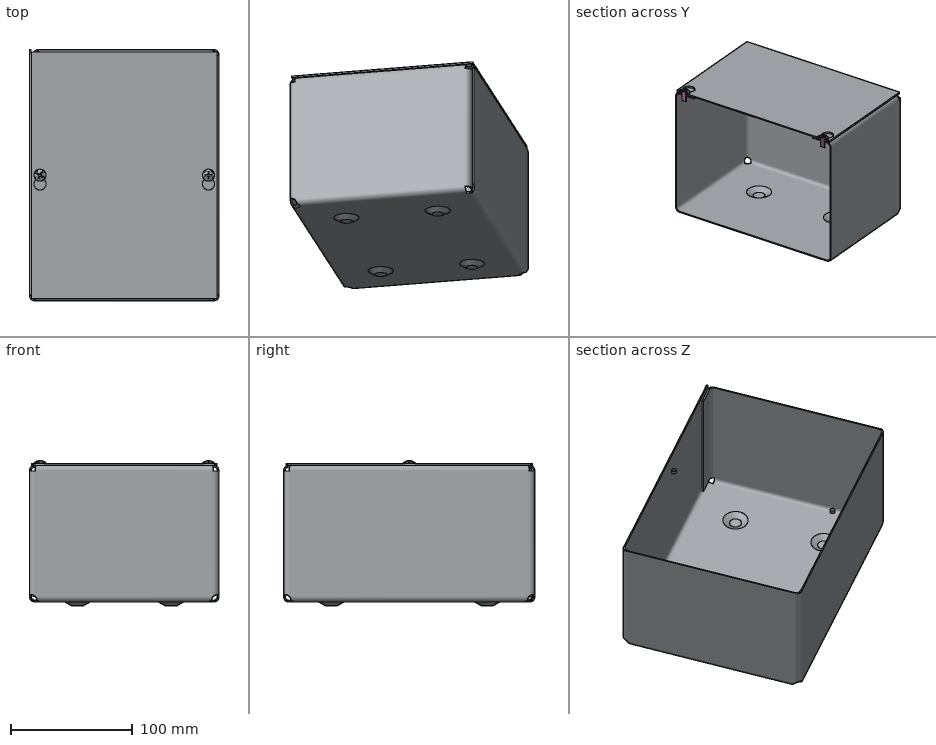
import cadquery as cq
import math

LENGTH_X = 155.6
LENGTH_Y = 206.4
BOX_HEIGHT = 112.3
SHEET = 1.5
BEND_RADIUS = 4.5
FLANGE_WIDTH = 18.5
NOTCH_MOUTH = 4.5
NOTCH_BOTTOM = 6.0
RELIEF_RADIUS = 6.6
RELIEF_MOUTH_RADIUS = 9.3

SEAM_OFFSET = 2 * SHEET
TAB_LENGTH = 14.5

DIMPLE_X = 38.4
DIMPLE_Y = 64.0
DIMPLE_HEIGHT = 3.0
DIMPLE_BASE_DIAMETER = 20.6
DIMPLE_END_DIAMETER = 9.7

LID_MARGIN_X = 1.7
LID_MARGIN_Y = 1.9
KEYHOLE_SHIFT = 7.2
KEYHOLE_DIAMETER = 10.0
SLOT_WIDTH = 7.6

SCREW_X = 69.1
HEAD_DIAMETER = 10.0
HEAD_HEIGHT = 2.5
HEAD_RIM = 0.5
SHANK_DIAMETER = 4.1
SHANK_LENGTH = 8.3
CROSS_LENGTH = 5.8
CROSS_WIDTH = 1.0
CROSS_DEPTH = 1.5
CROSS_ANGLES = {-1: 60.0, 1: 0.0}

HALF_X = LENGTH_X / 2
HALF_Y = LENGTH_Y / 2
BEND_TOP = BOX_HEIGHT - BEND_RADIUS
LID_TOP = BOX_HEIGHT + SHEET
SIDES = (-1, 1)


def block(x_range, y_range, z_range):
    """Box between a low and a high limit on each axis."""
    sizes = [high - low for low, high in (x_range, y_range, z_range)]
    corner = (x_range[0], y_range[0], z_range[0])
    return cq.Workplane("XY").box(*sizes, centered=False).translate(corner)


def rounded_block(inset):
    """Box outline moved inward by `inset`; every edge is rounded but the upright one at -X, +Y."""
    x = HALF_X - inset
    y = HALF_Y - inset
    body = block((-x, x), (-y, y), (inset, BOX_HEIGHT - inset))
    open_corner = cq.selectors.BoxSelector((-x - SHEET, y - SHEET, 0), (-x + SHEET, y + SHEET, BOX_HEIGHT))
    box_edges = cq.selectors.StringSyntaxSelector("|X or |Y or |Z")
    return body.edges(box_edges - open_corner).fillet(BEND_RADIUS - inset)


def corner_notch(side_x, side_y):
    """Gap between the two flange bends that meet at a corner; it widens inward."""
    outline = [(0, 0), (NOTCH_MOUTH, 0), (NOTCH_BOTTOM, NOTCH_BOTTOM), (0, NOTCH_MOUTH)]
    points = [(side_x * (HALF_X - x), side_y * (HALF_Y - y)) for x, y in outline]
    return cq.Workplane("XY", origin=(0, 0, BEND_TOP)).polyline(points).close().extrude(BEND_RADIUS)


def corner_relief(x, y):
    """Ball around a corner of the base, with a mouth that flares out through the base sheet."""
    throat_radius = math.sqrt(RELIEF_RADIUS**2 - SHEET**2)
    mouth = cq.Solid.makeCone(RELIEF_MOUTH_RADIUS, throat_radius, SHEET, pnt=cq.Vector(x, y, 0))
    return cq.Workplane("XY", origin=(x, y, 0)).sphere(RELIEF_RADIUS).union(cq.Workplane(mouth))


def open_seam(box):
    """Free the +Y wall from the -X wall, which runs straight on to the +Y face."""
    wall_x = -HALF_X
    tab_x = wall_x + SEAM_OFFSET
    bend_end_x = tab_x + BEND_RADIUS
    seam_y = HALF_Y - SEAM_OFFSET
    full_height = (0, BOX_HEIGHT)
    box = box.cut(block((wall_x + SHEET, bend_end_x), (seam_y, HALF_Y), full_height))
    box = box.cut(block((tab_x, bend_end_x), (HALF_Y - BEND_RADIUS, HALF_Y), full_height))
    box = box.cut(block((wall_x, tab_x), (seam_y, HALF_Y), (BEND_TOP, BOX_HEIGHT)))
    box = box.cut(corner_relief(wall_x, HALF_Y + SEAM_OFFSET))
    return box.union(seam_tab(bend_end_x, HALF_Y - BEND_RADIUS))


def seam_tab(bend_x, bend_y):
    """Tab bent from the +Y wall about (bend_x, bend_y), standing just inside the -X wall."""
    outer = BEND_RADIUS
    inner = BEND_RADIUS - SHEET
    diagonal = math.sqrt(0.5)
    return (
        cq.Workplane("XY", origin=(bend_x, bend_y, BEND_RADIUS))
        .moveTo(0, outer)
        .threePointArc((-outer * diagonal, outer * diagonal), (-outer, 0))
        .lineTo(-outer, -TAB_LENGTH)
        .lineTo(-inner, -TAB_LENGTH)
        .lineTo(-inner, 0)
        .threePointArc((-inner * diagonal, inner * diagonal), (0, inner))
        .close()
        .extrude(BEND_TOP - BEND_RADIUS)
    )


def dimple(x, y, base_z):
    """Blunt cone hanging from `base_z`."""
    return (
        cq.Workplane("XY", origin=(x, y, base_z))
        .circle(DIMPLE_BASE_DIAMETER / 2)
        .workplane(offset=-DIMPLE_HEIGHT)
        .circle(DIMPLE_END_DIAMETER / 2)
        .loft(ruled=True)
    )


def build_box():
    box = rounded_block(0).cut(rounded_block(SHEET))

    open_x = HALF_X - FLANGE_WIDTH
    open_y = HALF_Y - FLANGE_WIDTH
    box = box.cut(block((-open_x, open_x), (-open_y, open_y), (BEND_TOP, BOX_HEIGHT)))

    for side_x, side_y in ((-1, -1), (1, -1), (1, 1)):
        box = box.cut(corner_notch(side_x, side_y))
        box = box.cut(corner_relief(side_x * HALF_X, side_y * HALF_Y))
    box = open_seam(box)

    for side_x in SIDES:
        for side_y in SIDES:
            x = side_x * DIMPLE_X
            y = side_y * DIMPLE_Y
            box = box.union(dimple(x, y, 0)).cut(dimple(x, y, SHEET))

    holes = (
        cq.Workplane("XY", origin=(0, 0, BOX_HEIGHT - SHEET))
        .pushPoints([(side * SCREW_X, 0) for side in SIDES])
        .circle(SHANK_DIAMETER / 2)
        .extrude(SHEET)
    )
    return box.cut(holes)


def keyhole(x):
    """Slot under the screw head that runs toward -Y into a wide round opening."""
    plane = cq.Workplane("XY", origin=(x, 0, BOX_HEIGHT))
    slot_end = plane.circle(SLOT_WIDTH / 2).extrude(SHEET)
    slot = plane.center(0, -KEYHOLE_SHIFT / 2).rect(SLOT_WIDTH, KEYHOLE_SHIFT).extrude(SHEET)
    opening = plane.center(0, -KEYHOLE_SHIFT).circle(KEYHOLE_DIAMETER / 2).extrude(SHEET)
    return slot_end.union(slot).union(opening)


def build_lid():
    x = HALF_X - LID_MARGIN_X
    y = HALF_Y - LID_MARGIN_Y
    lid = block((-x, x), (-y, y), (BOX_HEIGHT, LID_TOP))
    for side in SIDES:
        lid = lid.cut(keyhole(side * SCREW_X))
    return lid


def build_screw(side):
    """Domed screw with a cross recess; its head rests on the lid."""
    head_radius = HEAD_DIAMETER / 2
    shank_radius = SHANK_DIAMETER / 2
    dome_height = HEAD_HEIGHT - HEAD_RIM
    dome_radius = (head_radius**2 + dome_height**2) / (2 * dome_height)
    dome_centre = HEAD_HEIGHT - dome_radius
    half_angle = math.asin(head_radius / dome_radius) / 2
    dome_middle = (dome_radius * math.sin(half_angle), dome_centre + dome_radius * math.cos(half_angle))
    screw = (
        cq.Workplane("XZ")
        .moveTo(0, -SHANK_LENGTH)
        .lineTo(shank_radius, -SHANK_LENGTH)
        .lineTo(shank_radius, 0)
        .lineTo(head_radius, 0)
        .lineTo(head_radius, HEAD_RIM)
        .threePointArc(dome_middle, (0, HEAD_HEIGHT))
        .close()
        .revolve(360, (0, 0, 0), (0, 1, 0))
    )
    recess = cq.Workplane("XY", origin=(0, 0, HEAD_HEIGHT - CROSS_DEPTH))
    bar = recess.rect(CROSS_LENGTH, CROSS_WIDTH).extrude(CROSS_DEPTH)
    for turn in (0, 90):
        screw = screw.cut(bar.rotate((0, 0, 0), (0, 0, 1), CROSS_ANGLES[side] + turn))
    return screw.translate((side * SCREW_X, 0, LID_TOP))


box = build_box()
lid = build_lid()
screws = [build_screw(side) for side in SIDES]
result = cq.Compound.makeCompound([box.val(), lid.val(), *[screw.val() for screw in screws]])